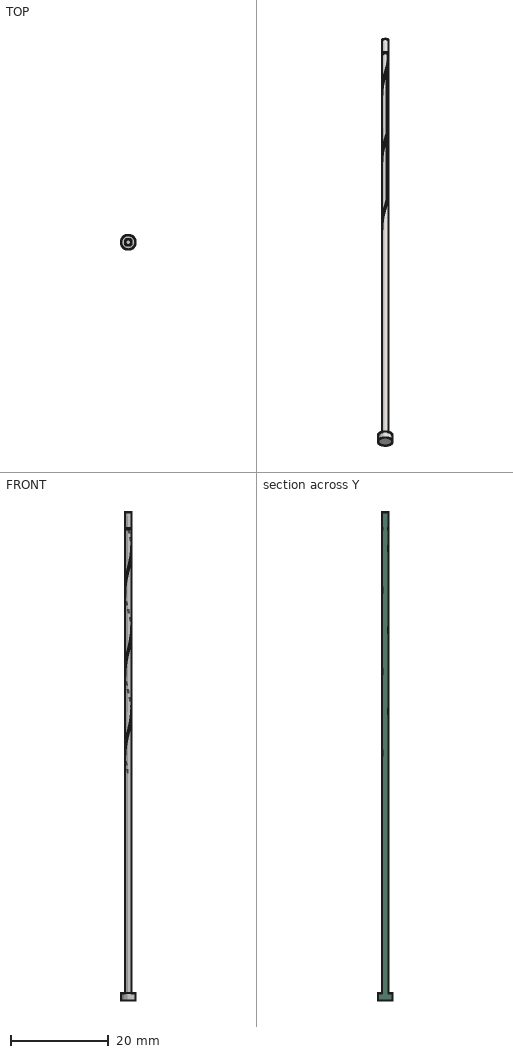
import cadquery as cq
import math

total_length = 100.0
head_diameter = 3.0
head_height = 1.5
shaft_diameter = 1.4

groove_width = 0.25
groove_depth = 0.1
spiral_length = 50.0
spiral_turns = 3
spiral_start_angle = 90.0
ring_to_tip = 3.4

shaft_radius = shaft_diameter / 2
ring_height = total_length - ring_to_tip
spiral_start = ring_height - spiral_length
spiral_pitch = spiral_length / spiral_turns

spiral_angle = math.atan2(spiral_pitch, math.pi * shaft_diameter)
spiral_opening = groove_width / math.cos(spiral_angle)

cutter_overlap = 0.1
cutter_thickness = groove_depth + cutter_overlap
cutter_mid_radius = shaft_radius - groove_depth + cutter_thickness / 2


def make_pin():
    """Plain shaft standing on its round head."""
    head = cq.Workplane("XY").circle(head_diameter / 2).extrude(head_height)
    shaft = cq.Workplane("XY").circle(shaft_radius).extrude(total_length)
    return head.union(shaft)


def make_spiral_cutter():
    """Right-handed spiral that starts and ends on the +Y side."""
    path = cq.Wire.makeHelix(spiral_pitch, spiral_length, shaft_radius)
    spiral = (
        cq.Workplane("XZ")
        .center(cutter_mid_radius, 0)
        .rect(cutter_thickness, spiral_opening)
        .sweep(cq.Workplane(path), isFrenet=True)
    )
    turned_spiral = spiral.rotate((0, 0, 0), (0, 0, 1), spiral_start_angle)
    return turned_spiral.translate((0, 0, spiral_start))


def make_ring_cutter():
    """Ring around the shaft at the upper end of the spiral."""
    return (
        cq.Workplane("XY")
        .workplane(offset=ring_height - groove_width / 2)
        .circle(shaft_radius + cutter_overlap)
        .circle(shaft_radius - groove_depth)
        .extrude(groove_width)
    )


result = make_pin().cut(make_spiral_cutter()).cut(make_ring_cutter())